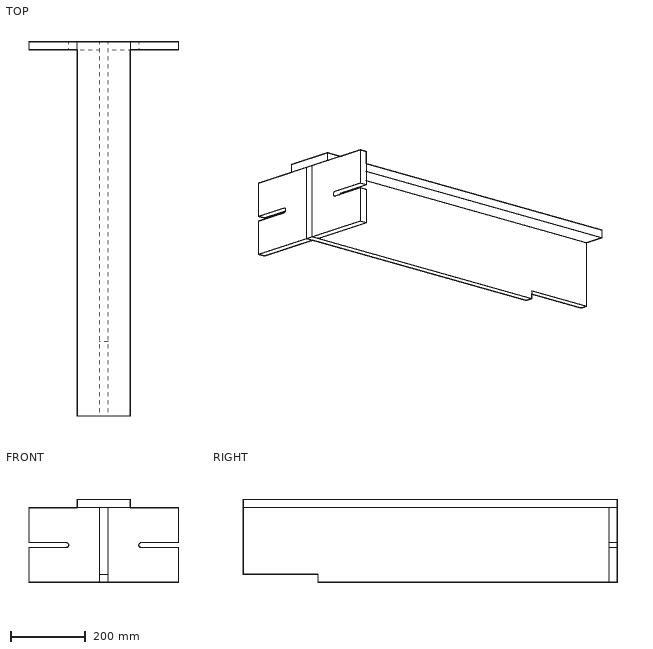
import cadquery as cq

length = 1000.0
overall_width = 400.0
web_height = 200.0
thickness = 22.0
flange_width = 142.0
notch_length = 200.0
notch_height = 22.0
slot_depth = 106.0
slot_width = 13.0

half_length = length / 2
slot_radius = slot_width / 2
slot_center_z = web_height / 2


def make_flange():
    """Flat top plate resting on the web and the end plates."""
    flange = cq.Workplane("XY").box(flange_width, length, thickness, centered=(True, True, False))
    return flange.translate((0, 0, web_height))


def make_web():
    """Upright central plate, notched under its free end at -Y."""
    notch_end_y = -half_length + notch_length
    return (
        cq.Workplane("YZ")
        .moveTo(half_length, 0)
        .lineTo(half_length, web_height)
        .lineTo(-half_length, web_height)
        .lineTo(-half_length, notch_height)
        .lineTo(notch_end_y, notch_height)
        .lineTo(notch_end_y, 0)
        .close()
        .extrude(thickness / 2, both=True)
    )


def make_end_plate(side):
    """End plate beside the web, on +X (side = 1) or -X (side = -1), with an open round-ended slot."""
    inner_x = side * thickness / 2
    outer_x = side * overall_width / 2
    slot_end_x = outer_x - side * slot_depth
    arc_start_x = slot_end_x + side * slot_radius
    slot_bottom_z = slot_center_z - slot_radius
    slot_top_z = slot_center_z + slot_radius
    return (
        cq.Workplane("XZ", origin=(0, half_length, 0))
        .moveTo(inner_x, 0)
        .lineTo(outer_x, 0)
        .lineTo(outer_x, slot_bottom_z)
        .lineTo(arc_start_x, slot_bottom_z)
        .threePointArc((slot_end_x, slot_center_z), (arc_start_x, slot_top_z))
        .lineTo(outer_x, slot_top_z)
        .lineTo(outer_x, web_height)
        .lineTo(inner_x, web_height)
        .close()
        .extrude(thickness)
    )


flange = make_flange()
web = make_web()
end_plates = [make_end_plate(side) for side in (-1, 1)]

result = cq.Compound.makeCompound([flange.val(), web.val(), *[plate.val() for plate in end_plates]])